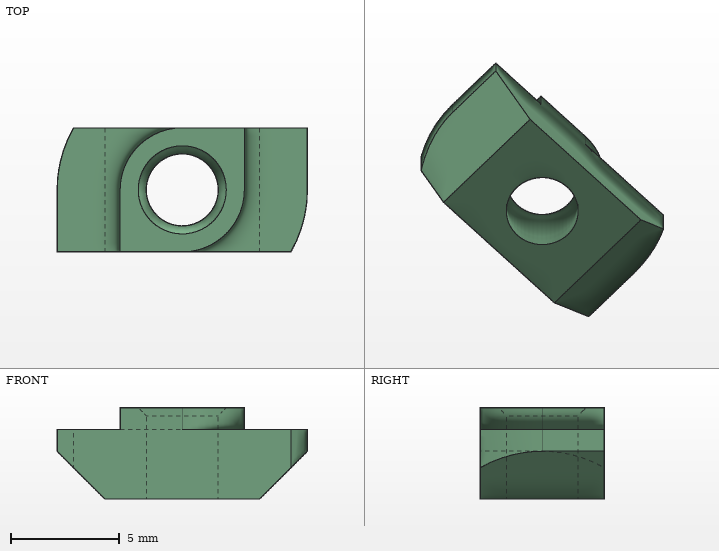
import cadquery as cq
import math

length = 11.5
width = 5.7
base_height = 3.2
boss_height = 1.0
edge_height = 1.0
hole_diameter = 3.3
countersink_diameter = 4.05

half_length = length / 2
half_width = width / 2
total_height = base_height + boss_height
bevel = base_height - edge_height
countersink_depth = (countersink_diameter - hole_diameter) / 2


def rounded_outline(radius, height):
    """Block reaching radius along X, its -X+Y and +X-Y corners rounded by arcs about the origin."""
    corner_x = math.sqrt(radius**2 - half_width**2)
    corner_angle = math.asin(half_width / radius)
    mid_x = radius * math.cos(corner_angle / 2)
    mid_y = radius * math.sin(corner_angle / 2)
    return (
        cq.Workplane("XY")
        .moveTo(-radius, -half_width)
        .lineTo(corner_x, -half_width)
        .threePointArc((mid_x, -mid_y), (radius, 0))
        .lineTo(radius, half_width)
        .lineTo(-corner_x, half_width)
        .threePointArc((-mid_x, mid_y), (-radius, 0))
        .close()
        .extrude(height)
    )


def beveled_profile():
    """Prism along Y with 45 degree bevels under both ends."""
    return (
        cq.Workplane("XZ")
        .polyline([
            (bevel - half_length, 0),
            (half_length - bevel, 0),
            (half_length, bevel),
            (half_length, base_height),
            (-half_length, base_height),
            (-half_length, bevel),
        ])
        .close()
        .extrude(half_width, both=True)
    )


base = rounded_outline(half_length, base_height).intersect(beveled_profile())

boss = rounded_outline(half_width, total_height)

hole = cq.Workplane("XY").circle(hole_diameter / 2).extrude(total_height)
countersink = (
    cq.Workplane("XY")
    .workplane(offset=total_height)
    .circle(countersink_diameter / 2)
    .workplane(offset=-countersink_depth)
    .circle(hole_diameter / 2)
    .loft()
)

result = base.union(boss).cut(hole).cut(countersink)